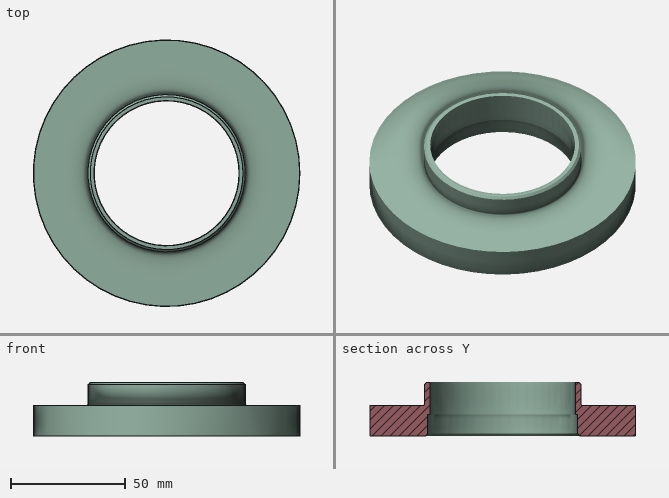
import cadquery as cq

flange_diameter = 116.0
flange_thickness = 13.3

total_height = 23.3
hub_diameter = 68.4
bore_diameter = 63.0
hub_chamfer = 1.0
root_fillet = 0.5

counterbore_diameter = 65.1
counterbore_depth = 9.2
counterbore_chamfer = 1.0

flange_radius = flange_diameter / 2
hub_radius = hub_diameter / 2
bore_radius = bore_diameter / 2
counterbore_radius = counterbore_diameter / 2

section = (
    cq.Workplane("XZ")
    .moveTo(counterbore_radius + counterbore_chamfer, 0)
    .lineTo(flange_radius, 0)
    .lineTo(flange_radius, flange_thickness)
    .lineTo(hub_radius + root_fillet, flange_thickness)
    .radiusArc((hub_radius, flange_thickness + root_fillet), root_fillet)
    .lineTo(hub_radius, total_height - hub_chamfer)
    .lineTo(hub_radius - hub_chamfer, total_height)
    .lineTo(bore_radius, total_height)
    .lineTo(bore_radius, counterbore_depth)
    .lineTo(counterbore_radius, counterbore_depth)
    .lineTo(counterbore_radius, counterbore_chamfer)
    .close()
)

result = section.revolve(360, (0, 0, 0), (0, 1, 0))